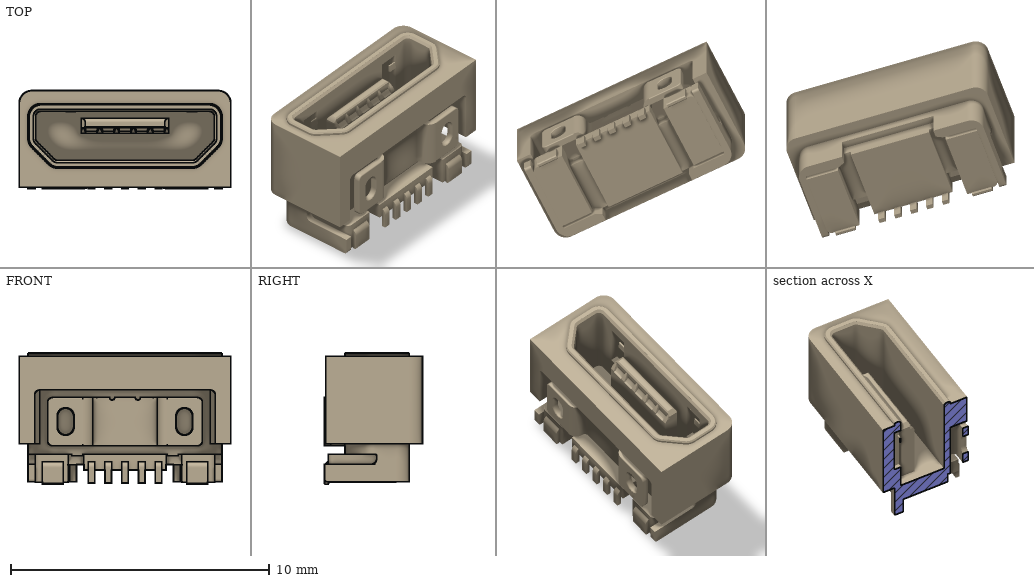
import cadquery as cq
import math


COVER_WIDTH = 8.2
COVER_DEPTH = 3.75
COVER_BOTTOM = 1.57
COVER_TOP = 4.97
COVER_CORNER_RADIUS = 0.5
NOTCH_HALF_WIDTH = 3.5
NOTCH_TOP = 3.66
NOTCH_DEPTH = 1.23
NOTCH_RADIUS = 0.2

SHELL_HALF_WIDTH = 3.76
SHELL_FRONT = 0.74
SHELL_BACK = 3.24
SHELL_BEVEL = 0.95
SHELL_RADIUS = 0.5
SHELL_WALL = 0.3
SHELL_BOTTOM = 1.18
SHELL_TOP = 5.11
RIM_OUTER_CHAMFER = 0.05
RIM_INNER_CHAMFER = 0.09
RIM_LAND = 0.002
CAVITY_FLOOR = 1.6

WINDOW_CENTRE = 2.35
WINDOW_WIDTH = 0.8
WINDOW_BOTTOM = 2.6
WINDOW_TOP = 4.56

CATCH_OFFSET = 0.25
CATCH_WIDTH = 0.36
CATCH_FRONT = 2.93
CATCH_BOTTOM = 3.93
CATCH_TOP = 4.2
CATCH_LEAN = 0.03
CATCH_BACK = 3.01

SOLDER_FACE = -0.05

STRAP_HALF_WIDTH = 3.0
STRAP_BOTTOM = 1.5
STRAP_TOP = 3.37
STRAP_THICKNESS = 0.25
STRAP_STEP = 1.25
STRAP_INNER_RADIUS = 0.15
STRAP_OUTER_RADIUS = 0.38
STRAP_CORNER_RADIUS = 0.2
STRAP_EDGE_FILLET = 0.04
STRAP_NICK_RADIUS = 0.1
STRAP_NICK_X = 0.5
STRAP_SLOT_X = 2.3
STRAP_SLOT_WIDTH = 0.62
STRAP_SLOT_HEIGHT = 1.03
STRAP_SLOT_Z = 2.44
STRAP_SLOT_CHAMFER = 0.02

LEG_BOTTOM = 0.1
LEG_INNER_X = 1.87
LEG_BEVEL_WIDTH = 0.26
LEG_BEVEL_DEPTH = 0.13
ARM_THICKNESS = 0.28
ARM_TOP = 0.79
ARM_SLOT_BACK = 1.97
ARM_SLOT_RADIUS = 0.2
ARM_SLOT_TOP_RADIUS = 0.07
ARM_TIP_RADIUS = 0.11

BODY_FRONT = 0.09
FOOT_INNER_X = 2.2
FOOT_OUTER_X = SHELL_HALF_WIDTH - ARM_THICKNESS
FOOT_BOTTOM = 0.08
FOOT_RADIUS = 0.2
FOOT_BACK = 2.71
BASE_BOTTOM = 0.77
BASE_FRONT = 0.85
LIP_BOTTOM = 1.11
LIP_INNER_X = 1.63
LIP_OUTER_X = 2.06
BLOCK_HALF_WIDTH = 1.595
BLOCK_BOTTOM = 0.56

CONTACT_COUNT = 5
CONTACT_PITCH = 0.65
PIN_WIDTH = 0.26
PIN_BOTTOM = 0.05
LEAD_TOP = 0.9
LEAD_BEND_RADIUS = 0.24
LEAD_THICKNESS = 0.17
PAD_X = 2.79
PAD_WIDTH = 0.81
PAD_TIP_CHAMFER = 0.04

TONGUE_HALF_WIDTH = 1.7
TONGUE_FRONT = 2.1
TONGUE_CORE_FRONT = 2.3
TONGUE_BACK = 2.68
TONGUE_TOP = 4.28
TONGUE_ROUND = 0.17
TONGUE_END_CHAMFER = 0.16
TONGUE_FRONT_CHAMFER = 0.05
RIB_TOP = 4.16
RIB_SHOULDER = 3.86
RIB_BASE_WIDTH = 0.22
RIB_TIP_WIDTH = 0.05
CONTACT_TIP_Y = 2.17
CONTACT_TIP_Z = 3.84
CONTACT_FACE_TOP = 3.82
CONTACT_SLOPE_TOP = 3.94

CONTACT_XS = [(i - (CONTACT_COUNT - 1) / 2) * CONTACT_PITCH for i in range(CONTACT_COUNT)]
SIDES = (-1, 1)


def box(x0, x1, y0, y1, z0, z1):
    """Box between two opposite corners, given in any order along X."""
    left = min(x0, x1)
    return cq.Workplane("XY").box(abs(x1 - x0), y1 - y0, z1 - z0, centered=False).translate((left, y0, z0))


def shell_prism(inset, bottom, top):
    """Prism of the shell outline, moved inward by `inset`."""
    half = SHELL_HALF_WIDTH - inset
    front = SHELL_FRONT + inset
    back = SHELL_BACK - inset
    bevel = SHELL_BEVEL - inset * (2 - math.sqrt(2))
    outline = [
        (-half, back),
        (half, back),
        (half, front + bevel),
        (half - bevel, front),
        (bevel - half, front),
        (-half, front + bevel),
    ]
    prism = cq.Workplane("XY").workplane(offset=bottom).polyline(outline).close().extrude(top - bottom)
    return prism.edges("|Z").fillet(SHELL_RADIUS - inset)


def make_cover():
    cover = box(-COVER_WIDTH / 2, COVER_WIDTH / 2, 0, COVER_DEPTH, COVER_BOTTOM, COVER_TOP)
    cover = cover.edges("|Z and >Y").fillet(COVER_CORNER_RADIUS)
    notch = box(-NOTCH_HALF_WIDTH, NOTCH_HALF_WIDTH, 0, NOTCH_DEPTH, COVER_BOTTOM, NOTCH_TOP)
    return cover.cut(notch.edges("|Y and >Z").fillet(NOTCH_RADIUS))


def make_shell():
    """Filled shell; the plug cavity is cut after it is joined to the cover."""
    return shell_prism(0, SHELL_BOTTOM, SHELL_TOP).faces(">Z").chamfer(RIM_OUTER_CHAMFER)


def make_cavity():
    """Plug opening with a flared mouth and two recesses in its back wall."""
    cavity = shell_prism(SHELL_WALL, CAVITY_FLOOR, SHELL_TOP)
    mouth_bottom = SHELL_TOP - RIM_INNER_CHAMFER - RIM_LAND
    mouth = shell_prism(SHELL_WALL - RIM_INNER_CHAMFER, mouth_bottom, SHELL_TOP)
    mouth = mouth.faces("<Z").chamfer(RIM_INNER_CHAMFER)
    cavity = cavity.union(mouth)
    for side in SIDES:
        centre = side * WINDOW_CENTRE
        cavity = cavity.union(
            box(
                centre - WINDOW_WIDTH / 2,
                centre + WINDOW_WIDTH / 2,
                SHELL_BACK - 2 * SHELL_WALL,
                SHELL_BACK,
                WINDOW_BOTTOM,
                WINDOW_TOP,
            )
        )
    return cavity


def make_catch(window_x):
    """Small catch at one edge of a recess, with a front that leans back."""
    left = window_x + CATCH_OFFSET - CATCH_WIDTH / 2
    return (
        cq.Workplane("YZ", origin=(left, 0, 0))
        .moveTo(CATCH_FRONT, CATCH_BOTTOM)
        .lineTo(CATCH_FRONT + CATCH_LEAN, CATCH_TOP)
        .lineTo(CATCH_BACK, CATCH_TOP)
        .lineTo(CATCH_BACK, CATCH_BOTTOM)
        .close()
        .extrude(CATCH_WIDTH)
    )


def make_strap():
    """Bent strap: its middle lies on the shell and its two ends step forward to the solder plane."""
    end_back = SOLDER_FACE + STRAP_THICKNESS
    bend_end = STRAP_STEP + STRAP_OUTER_RADIUS
    strap = (
        box(-STRAP_HALF_WIDTH, STRAP_HALF_WIDTH, SOLDER_FACE, end_back, STRAP_BOTTOM, STRAP_TOP)
        .edges("|Y")
        .fillet(STRAP_CORNER_RADIUS)
        .faces("<Y")
        .edges()
        .fillet(STRAP_EDGE_FILLET)
    )
    strap = strap.cut(box(-bend_end, bend_end, SOLDER_FACE, end_back, STRAP_BOTTOM, STRAP_TOP))
    half = make_strap_bend()
    strap = strap.union(half).union(half.mirror("YZ"))
    for side in SIDES:
        strap = strap.cut(slot_cutter(side * STRAP_SLOT_X))
        nick = cq.Workplane("XZ").center(side * STRAP_NICK_X, STRAP_TOP).circle(STRAP_NICK_RADIUS)
        strap = strap.cut(nick.extrude(-SHELL_FRONT))
    return strap


def make_strap_bend():
    """Half of the strap middle with its S-bend on the +X side."""
    plate_front = SHELL_FRONT - STRAP_THICKNESS
    end_back = SOLDER_FACE + STRAP_THICKNESS
    bend_end = STRAP_STEP + STRAP_OUTER_RADIUS
    plate_end = STRAP_STEP - STRAP_INNER_RADIUS
    step_outer = STRAP_STEP + STRAP_THICKNESS
    back_radius = step_outer - plate_end
    front_radius = bend_end - step_outer
    return (
        cq.Workplane("XY")
        .workplane(offset=STRAP_BOTTOM)
        .moveTo(0, SHELL_FRONT)
        .lineTo(plate_end, SHELL_FRONT)
        .radiusArc((step_outer, SHELL_FRONT - back_radius), back_radius)
        .lineTo(step_outer, end_back + front_radius)
        .radiusArc((bend_end, end_back), -front_radius)
        .lineTo(bend_end, SOLDER_FACE)
        .radiusArc((STRAP_STEP, SOLDER_FACE + STRAP_OUTER_RADIUS), STRAP_OUTER_RADIUS)
        .lineTo(STRAP_STEP, plate_front - STRAP_INNER_RADIUS)
        .radiusArc((plate_end, plate_front), -STRAP_INNER_RADIUS)
        .lineTo(0, plate_front)
        .close()
        .extrude(STRAP_TOP - STRAP_BOTTOM)
    )


def slot_cutter(x):
    """Vertical slot through a strap end, with a small chamfer at the front."""
    slot = cq.Workplane("XZ", origin=(x, SOLDER_FACE, STRAP_SLOT_Z))
    chamfer = 2 * STRAP_SLOT_CHAMFER
    through = slot.slot2D(STRAP_SLOT_HEIGHT, STRAP_SLOT_WIDTH, 90).extrude(-STRAP_THICKNESS)
    flare = (
        slot.slot2D(STRAP_SLOT_HEIGHT + chamfer, STRAP_SLOT_WIDTH + chamfer, 90)
        .extrude(-STRAP_SLOT_CHAMFER, taper=45)
    )
    return through.union(flare)


def make_legs():
    """Shell side walls below the cover, each with a forward arm and a thickened back wall."""
    leg_height = SHELL_BOTTOM - LEG_BOTTOM
    outline = shell_prism(0, LEG_BOTTOM, SHELL_BOTTOM)
    straight_front = SHELL_FRONT + SHELL_BEVEL
    inner_back = SHELL_BACK - ARM_THICKNESS
    legs = outline.cut(shell_prism(ARM_THICKNESS, LEG_BOTTOM, SHELL_BOTTOM))
    legs = legs.intersect(
        box(-SHELL_HALF_WIDTH, SHELL_HALF_WIDTH, straight_front, SHELL_BACK, LEG_BOTTOM, SHELL_BOTTOM)
    )
    legs = legs.cut(box(-LEG_INNER_X, LEG_INNER_X, straight_front, SHELL_BACK, LEG_BOTTOM, SHELL_BOTTOM))
    for side in SIDES:
        inner = side * FOOT_OUTER_X
        outer = side * SHELL_HALF_WIDTH
        arm = box(inner, outer, SOLDER_FACE, ARM_SLOT_BACK, LEG_BOTTOM, ARM_TOP)
        legs = legs.union(arm.edges("|X and <Y and <Z").fillet(ARM_TIP_RADIUS))
        slot = box(inner, outer, SOLDER_FACE, ARM_SLOT_BACK, ARM_TOP, SHELL_BOTTOM)
        slot = slot.edges("|X and >Y and <Z").fillet(ARM_SLOT_RADIUS)
        legs = legs.cut(slot.edges("|X and >Y and >Z").fillet(ARM_SLOT_TOP_RADIUS))
        web = (
            cq.Workplane("XY")
            .workplane(offset=LEG_BOTTOM)
            .moveTo(side * LEG_INNER_X, inner_back)
            .lineTo(side * (LEG_INNER_X + LEG_BEVEL_WIDTH), inner_back - LEG_BEVEL_DEPTH)
            .lineTo(side * FOOT_OUTER_X, inner_back - LEG_BEVEL_DEPTH)
            .lineTo(side * FOOT_OUTER_X, inner_back)
            .close()
            .extrude(leg_height)
        )
        legs = legs.union(web.intersect(outline))
    return legs


def make_insulator():
    """Base under the cavity, terminal block at the middle and a foot at each end."""
    back = SHELL_BACK - ARM_THICKNESS
    base = box(-FOOT_OUTER_X, FOOT_OUTER_X, BASE_FRONT, back, BASE_BOTTOM, SHELL_BOTTOM)
    block = box(-BLOCK_HALF_WIDTH, BLOCK_HALF_WIDTH, BODY_FRONT, back, BLOCK_BOTTOM, SHELL_BOTTOM)
    insulator = base.union(block)
    for side in SIDES:
        foot = box(side * FOOT_INNER_X, side * FOOT_OUTER_X, BODY_FRONT, FOOT_BACK, FOOT_BOTTOM, SHELL_BOTTOM)
        outer_edge = "|Z and <Y and >X" if side > 0 else "|Z and <Y and <X"
        insulator = insulator.union(foot.edges(outer_edge).fillet(FOOT_RADIUS))
        lip = box(side * LIP_INNER_X, side * LIP_OUTER_X, SHELL_FRONT, BASE_FRONT, LIP_BOTTOM, SHELL_BOTTOM)
        insulator = insulator.union(lip)
    return insulator


def make_lead(x, width, bottom, body_bottom):
    """Lead that leaves the insulator front, bends down and runs to `bottom`."""
    left = x - width / 2
    right = x + width / 2
    root = SOLDER_FACE + LEAD_BEND_RADIUS + LEAD_THICKNESS
    lead = box(left, right, SOLDER_FACE, root, bottom, LEAD_TOP)
    lead = lead.edges("|X and <Y and >Z").fillet(LEAD_BEND_RADIUS)
    return lead.cut(box(left, right, SOLDER_FACE + LEAD_THICKNESS, root, bottom, body_bottom))


def make_pad(x):
    """Wide solder lead on a foot, with its lower edges chamfered."""
    pad = make_lead(x, PAD_WIDTH, 0, FOOT_BOTTOM)
    return pad.faces("<Z").edges("|X").chamfer(PAD_TIP_CHAMFER)


def make_tongue():
    """Tongue with a bevelled tip, ribs between the contacts and the contact strips."""
    tongue = box(
        -TONGUE_HALF_WIDTH, TONGUE_HALF_WIDTH, TONGUE_CORE_FRONT, TONGUE_BACK, CAVITY_FLOOR, TONGUE_TOP
    )
    tongue = tongue.edges(">Z and <Y").chamfer(TONGUE_FRONT_CHAMFER)
    tongue = tongue.edges(">Z and >Y").fillet(TONGUE_ROUND)
    for side in SIDES:
        tongue = tongue.cut(tongue_end_cutter(side))

    rib_limit = box(
        -TONGUE_HALF_WIDTH, TONGUE_HALF_WIDTH, TONGUE_FRONT, TONGUE_CORE_FRONT, CAVITY_FLOOR, TONGUE_TOP
    )
    for i in range(CONTACT_COUNT + 1):
        x = (i - CONTACT_COUNT / 2) * CONTACT_PITCH
        tongue = tongue.union(make_rib(x).intersect(rib_limit))
    contacts = (
        cq.Workplane("YZ", origin=(-TONGUE_HALF_WIDTH, 0, 0))
        .polyline(
            [
                (TONGUE_FRONT, CAVITY_FLOOR),
                (TONGUE_CORE_FRONT, CAVITY_FLOOR),
                (TONGUE_CORE_FRONT, CONTACT_SLOPE_TOP),
                (CONTACT_TIP_Y, CONTACT_TIP_Z),
                (TONGUE_FRONT, CONTACT_FACE_TOP),
            ]
        )
        .close()
        .extrude(2 * TONGUE_HALF_WIDTH)
    )
    return tongue.union(contacts)


def tongue_end_cutter(side):
    """Wedge that bevels one end of the tongue tip."""
    end = side * TONGUE_HALF_WIDTH
    return (
        cq.Workplane("XZ", origin=(0, TONGUE_BACK, 0))
        .moveTo(end, TONGUE_TOP)
        .lineTo(end - side * TONGUE_END_CHAMFER, TONGUE_TOP)
        .lineTo(end, TONGUE_TOP - TONGUE_END_CHAMFER)
        .close()
        .extrude(TONGUE_BACK - TONGUE_CORE_FRONT)
    )


def make_rib(x):
    """Upright rib whose tip slopes back and narrows towards the tongue."""
    upright = box(
        x - RIB_BASE_WIDTH / 2,
        x + RIB_BASE_WIDTH / 2,
        TONGUE_FRONT,
        TONGUE_CORE_FRONT,
        CAVITY_FLOOR,
        RIB_SHOULDER,
    )
    tip = (
        cq.Workplane("YZ", origin=(x - RIB_BASE_WIDTH / 2, 0, 0))
        .polyline(
            [
                (TONGUE_FRONT, RIB_SHOULDER),
                (TONGUE_CORE_FRONT, RIB_SHOULDER),
                (TONGUE_CORE_FRONT, RIB_TOP),
            ]
        )
        .close()
        .extrude(RIB_BASE_WIDTH)
    )
    taper = (
        cq.Workplane("XZ", origin=(x, TONGUE_CORE_FRONT, 0))
        .polyline(
            [
                (-RIB_BASE_WIDTH / 2, RIB_SHOULDER),
                (RIB_BASE_WIDTH / 2, RIB_SHOULDER),
                (RIB_TIP_WIDTH / 2, RIB_TOP),
                (-RIB_TIP_WIDTH / 2, RIB_TOP),
            ]
        )
        .close()
        .extrude(TONGUE_CORE_FRONT - TONGUE_FRONT)
    )
    return upright.union(tip.intersect(taper))


def make_connector():
    connector = make_cover().union(make_shell()).cut(make_cavity())
    connector = connector.union(make_tongue())
    connector = connector.union(make_strap())
    connector = connector.union(make_insulator())
    connector = connector.union(make_legs())
    for x in CONTACT_XS:
        connector = connector.union(make_lead(x, PIN_WIDTH, PIN_BOTTOM, BLOCK_BOTTOM))
    for side in SIDES:
        connector = connector.union(make_catch(side * WINDOW_CENTRE))
        connector = connector.union(make_pad(side * PAD_X))
    return connector


result = make_connector()